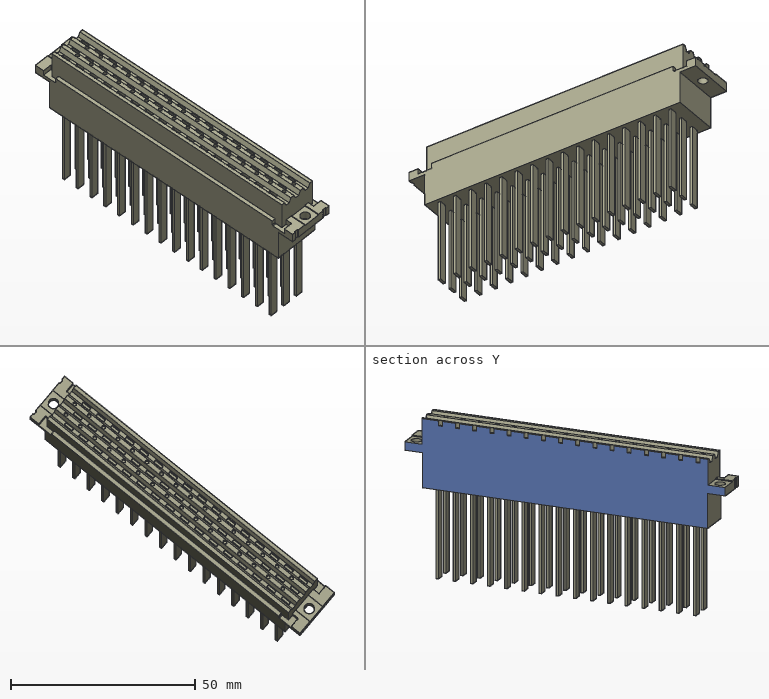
import cadquery as cq

LENGTH = 94.8
WIDTH = 14.7
HEIGHT = 45.8

FLANGE_TOP = -7.1
FLANGE_BOTTOM = -10.0
BODY_BOTTOM = -20.0

BODY_END_INSET = 5.2
TOWER_END_INSET = 5.0
TOWER_WIDTH = 12.3

EAR_RECESS_DEPTH = 0.3
EAR_RECESS_WIDTH = 5.4
EAR_CENTER_Y = 0.4
EAR_HOLE_DIAMETER = 2.8
EAR_HOLE_INSET = 2.5
NICK_DEPTH = 0.3
NICK_WIDTH = 1.1
NICK_OFFSET_Y = 5.6

NOTCH_START = 3.0
NOTCH_END = 7.5
NOTCH_DEPTH = 1.7
NOTCH_INNER_Y = 4.5
NOTCH_CHAMFER = 0.3

COLUMNS = 16
COLUMN_SPAN = 76.2
COLUMN_PITCH = COLUMN_SPAN / (COLUMNS - 1)
ROW_PITCH = 5.0
PIN_THICKNESS = 0.8
PIN_WIDTH = 2.4

GROOVE_PITCH = 3.8
GROOVE_DEPTH = 1.4
GROOVE_TOP_WIDTH = 2.6
GROOVE_FLOOR_WIDTH = 1.1

RIDGE_HOLE_DIAMETER = 1.0
RIDGE_HOLE_DEPTH = 1.4
RIDGE_HOLE_SHIFT_X = 1.2
POCKET_LENGTH = 2.7
POCKET_RIM = 0.3
POCKET_DEPTH = 0.95
POCKET_SHIFT_X = -1.3


def block(x_range, y_range, z_range):
    """Axis-aligned box between the given limits."""
    size = [high - low for low, high in (x_range, y_range, z_range)]
    corner = (x_range[0], y_range[0], z_range[0])
    return cq.Workplane("XY").box(*size, centered=False).translate(corner)


def centered_block(length, width, z_range):
    """Box centered on the Z axis between two levels."""
    return block((-length / 2, length / 2), (-width / 2, width / 2), z_range)


def column_points(shift_x, y):
    """Centers of one row of evenly spaced columns."""
    first_x = shift_x - COLUMN_SPAN / 2
    return [(first_x + i * COLUMN_PITCH, y) for i in range(COLUMNS)]


def make_housing():
    """Body with a full-length flange around its top."""
    body = centered_block(LENGTH - 2 * BODY_END_INSET, WIDTH, (BODY_BOTTOM, FLANGE_TOP))
    flange = centered_block(LENGTH, WIDTH, (FLANGE_BOTTOM, FLANGE_TOP))
    return body.union(flange)


def corner_notch(side_x, side_y):
    """Cutter for the stepped notch at one corner of the flange."""
    floor = FLANGE_TOP - NOTCH_DEPTH
    outer_x = LENGTH / 2 - NOTCH_START
    inner_x = LENGTH / 2 - NOTCH_END
    profile = [
        (side_x * outer_x, FLANGE_TOP),
        (side_x * outer_x, floor),
        (side_x * (inner_x + NOTCH_CHAMFER), floor),
        (side_x * inner_x, floor + NOTCH_CHAMFER),
        (side_x * inner_x, FLANGE_TOP),
    ]
    depth = WIDTH / 2 - NOTCH_INNER_Y
    start_y = WIDTH / 2 if side_y > 0 else -NOTCH_INNER_Y
    return cq.Workplane("XZ", origin=(0, start_y, 0)).polyline(profile).close().extrude(depth)


def ear_recess(side_x):
    """Cutter for the shallow channel and mounting hole of one ear."""
    channel = block(
        (0, LENGTH / 2),
        (EAR_CENTER_Y - EAR_RECESS_WIDTH / 2, EAR_CENTER_Y + EAR_RECESS_WIDTH / 2),
        (FLANGE_TOP - EAR_RECESS_DEPTH, FLANGE_TOP),
    )
    hole = (
        cq.Workplane("XY", origin=(0, 0, FLANGE_BOTTOM))
        .center(LENGTH / 2 - EAR_HOLE_INSET, EAR_CENTER_Y)
        .circle(EAR_HOLE_DIAMETER / 2)
        .extrude(FLANGE_TOP - FLANGE_BOTTOM)
    )
    cutter = channel.union(hole)
    return cutter if side_x > 0 else cutter.mirror("YZ")


def end_nick(side_y):
    """Cutter for one small nick in the +X edge of the flange."""
    center_y = side_y * NICK_OFFSET_Y
    return block(
        (LENGTH / 2 - NICK_DEPTH, LENGTH / 2),
        (center_y - NICK_WIDTH / 2, center_y + NICK_WIDTH / 2),
        (FLANGE_BOTTOM, FLANGE_TOP),
    )


def groove(center_y):
    """Cutter for one full-length groove."""
    profile = [
        (center_y - GROOVE_TOP_WIDTH / 2, 0),
        (center_y - GROOVE_FLOOR_WIDTH / 2, -GROOVE_DEPTH),
        (center_y + GROOVE_FLOOR_WIDTH / 2, -GROOVE_DEPTH),
        (center_y + GROOVE_TOP_WIDTH / 2, 0),
    ]
    return cq.Workplane("YZ").polyline(profile).close().extrude(LENGTH / 2, both=True)


def contact_pockets(groove_y, rim_side):
    """Cutter for the pockets in one groove floor, leaving a rim along the +Y (1) or -Y (-1) side."""
    points = column_points(POCKET_SHIFT_X, groove_y - rim_side * POCKET_RIM / 2)
    pockets = cq.Workplane("XY", origin=(0, 0, -GROOVE_DEPTH)).pushPoints(points)
    return pockets.rect(POCKET_LENGTH, GROOVE_FLOOR_WIDTH - POCKET_RIM).extrude(-POCKET_DEPTH)


def ridge_holes(ridge_y):
    """Cutter for the row of blind holes along one ridge."""
    holes = cq.Workplane("XY").pushPoints(column_points(RIDGE_HOLE_SHIFT_X, ridge_y))
    return holes.circle(RIDGE_HOLE_DIAMETER / 2).extrude(-RIDGE_HOLE_DEPTH)


def make_tower():
    """Tower rising from the flange underside, with grooves, contact pockets and ridge holes."""
    tower = centered_block(LENGTH - 2 * TOWER_END_INSET, TOWER_WIDTH, (FLANGE_BOTTOM, 0))
    for row, rim_side in ((-1, -1), (0, 1), (1, 1)):
        groove_y = row * GROOVE_PITCH
        tower = tower.cut(groove(groove_y)).cut(contact_pockets(groove_y, rim_side))
    for side in (-1, 1):
        tower = tower.cut(ridge_holes(side * GROOVE_PITCH / 2))
    return tower


def make_pins():
    """Three rows of flat pins hanging below the body."""
    points = []
    for row in (-1, 0, 1):
        points += column_points(0, row * ROW_PITCH)
    pins = cq.Workplane("XY", origin=(0, 0, BODY_BOTTOM)).pushPoints(points)
    pin_length = HEIGHT + BODY_BOTTOM
    return pins.rect(PIN_THICKNESS, PIN_WIDTH).extrude(-pin_length)


housing = make_housing()
for x_sign in (-1, 1):
    housing = housing.cut(ear_recess(x_sign))
    for y_sign in (-1, 1):
        housing = housing.cut(corner_notch(x_sign, y_sign))
for y_sign in (-1, 1):
    housing = housing.cut(end_nick(y_sign))

result = housing.union(make_tower()).union(make_pins())